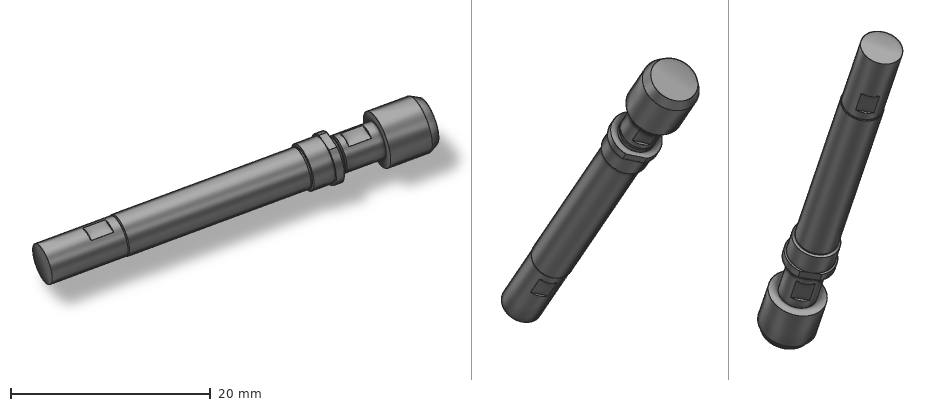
import cadquery as cq

total_length = 43.2

head_diameter = 6.1
head_end = 5.65
head_chamfer_length = 1.0
head_chamfer_depth = 0.5

neck_diameter = 4.0
neck_end = 10.15
groove_depth = 0.15

collar_diameter = 5.55
collar_start = 10.7
collar_end = 11.6

sleeve_diameter = 5.05
sleeve_end = 14.0

barrel_diameter = 4.5
barrel_start_chamfer_length = 0.2
barrel_end = 34.7
barrel_end_chamfer_length = 0.15
barrel_chamfer_depth = 0.1

tail_diameter = 4.35

flat_length = 2.5
neck_flat_start = 6.8
neck_across_flats = 3.5
tail_flat_start = 35.7
tail_across_flats = 3.95


def turned_body():
    """Solid of revolution about Y, centred lengthwise on the origin."""
    head_radius = head_diameter / 2
    neck_radius = neck_diameter / 2
    collar_radius = collar_diameter / 2
    sleeve_radius = sleeve_diameter / 2
    barrel_radius = barrel_diameter / 2
    barrel_tip_radius = barrel_radius - barrel_chamfer_depth
    tail_radius = tail_diameter / 2
    profile = [
        (0, 0),
        (head_radius - head_chamfer_depth, 0),
        (head_radius, head_chamfer_length),
        (head_radius, head_end),
        (neck_radius, head_end),
        (neck_radius, neck_end - groove_depth),
        (neck_radius - groove_depth, neck_end),
        (neck_radius, neck_end + groove_depth),
        (neck_radius, collar_start),
        (collar_radius, collar_start),
        (collar_radius, collar_end),
        (sleeve_radius, collar_end),
        (sleeve_radius, sleeve_end),
        (barrel_tip_radius, sleeve_end),
        (barrel_radius, sleeve_end + barrel_start_chamfer_length),
        (barrel_radius, barrel_end - barrel_end_chamfer_length),
        (barrel_tip_radius, barrel_end),
        (tail_radius, barrel_end),
        (tail_radius, total_length),
        (0, total_length),
    ]
    points = [(radius, total_length / 2 - station) for radius, station in profile]
    return cq.Workplane("XY").polyline(points).close().revolve(360, (0, 0), (0, 1))


def flat_cutters(start, length, across_flats):
    """Blocks above and below the axis that leave across_flats in Z over one length."""
    block_size = head_diameter
    middle_y = total_length / 2 - start - length / 2
    middle_z = (across_flats + block_size) / 2
    return (
        cq.Workplane("XZ", origin=(0, middle_y, 0))
        .pushPoints([(0, middle_z), (0, -middle_z)])
        .box(block_size, block_size, length)
    )


result = turned_body()
flats = [
    (neck_flat_start, flat_length, neck_across_flats),
    (collar_start, collar_end - collar_start, sleeve_diameter),
    (tail_flat_start, flat_length, tail_across_flats),
]
for start, length, across_flats in flats:
    result = result.cut(flat_cutters(start, length, across_flats))